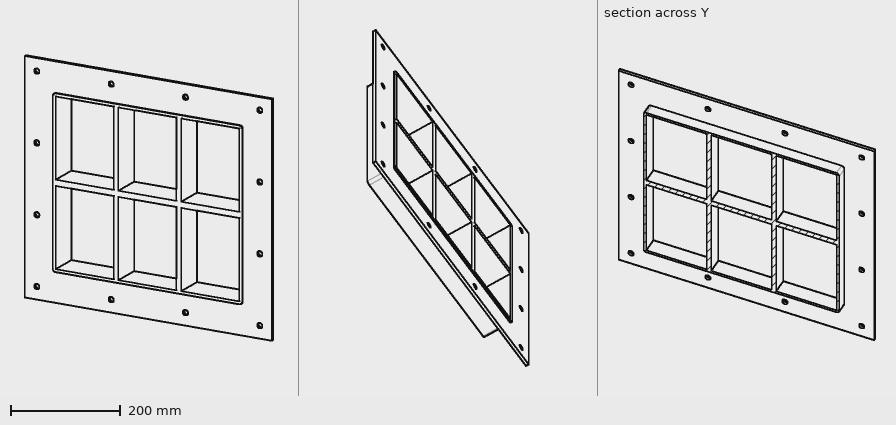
import cadquery as cq

plate_width = 513.5
plate_height = 463.0
plate_thickness = 6.0

flange_margin = 60.0
duct_width = plate_width - 2 * flange_margin
duct_height = plate_height - 2 * flange_margin
duct_depth = 60.0
front_projection = 3.0

duct_wall = 6.0
duct_corner_radius = duct_wall
upright_thickness = 10.0
crossbar_thickness = 12.0
columns = 3
rows = 2
window_width = (duct_width - 2 * duct_wall - (columns - 1) * upright_thickness) / columns
window_height = (duct_height - 2 * duct_wall - (rows - 1) * crossbar_thickness) / rows

bolt_diameter = 10.5
bolt_inset = 25.0
bolts_per_side = 4


def centred_positions(count, pitch):
    """Evenly spaced coordinates, symmetric about zero."""
    return [(i - (count - 1) / 2) * pitch for i in range(count)]


def block(width, height, front, depth):
    """Box centred in X and Z that runs from Y = front towards +Y."""
    return cq.Workplane("XY").box(width, depth, height).translate((0, front + depth / 2, 0))


def make_duct():
    duct = block(duct_width, duct_height, -front_projection, duct_depth)
    return duct.edges("|Y").fillet(duct_corner_radius)


def make_windows():
    x_positions = centred_positions(columns, window_width + upright_thickness)
    z_positions = centred_positions(rows, window_height + crossbar_thickness)
    window = block(window_width, window_height, -front_projection, duct_depth)
    windows = cq.Workplane("XY")
    for x in x_positions:
        for z in z_positions:
            windows = windows.add(window.translate((x, 0, z)))
    return windows.combine()


def make_bolt_holes():
    intervals = bolts_per_side - 1
    x_positions = centred_positions(bolts_per_side, (plate_width - 2 * bolt_inset) / intervals)
    z_positions = centred_positions(bolts_per_side, (plate_height - 2 * bolt_inset) / intervals)
    along_edges = [(x, z) for x in x_positions for z in (z_positions[0], z_positions[-1])]
    along_sides = [(x, z) for x in (x_positions[0], x_positions[-1]) for z in z_positions[1:-1]]
    return (
        cq.Workplane("XZ")
        .pushPoints(along_edges + along_sides)
        .circle(bolt_diameter / 2)
        .extrude(-plate_thickness)
    )


plate = block(plate_width, plate_height, 0, plate_thickness)
result = plate.union(make_duct()).cut(make_windows()).cut(make_bolt_holes())